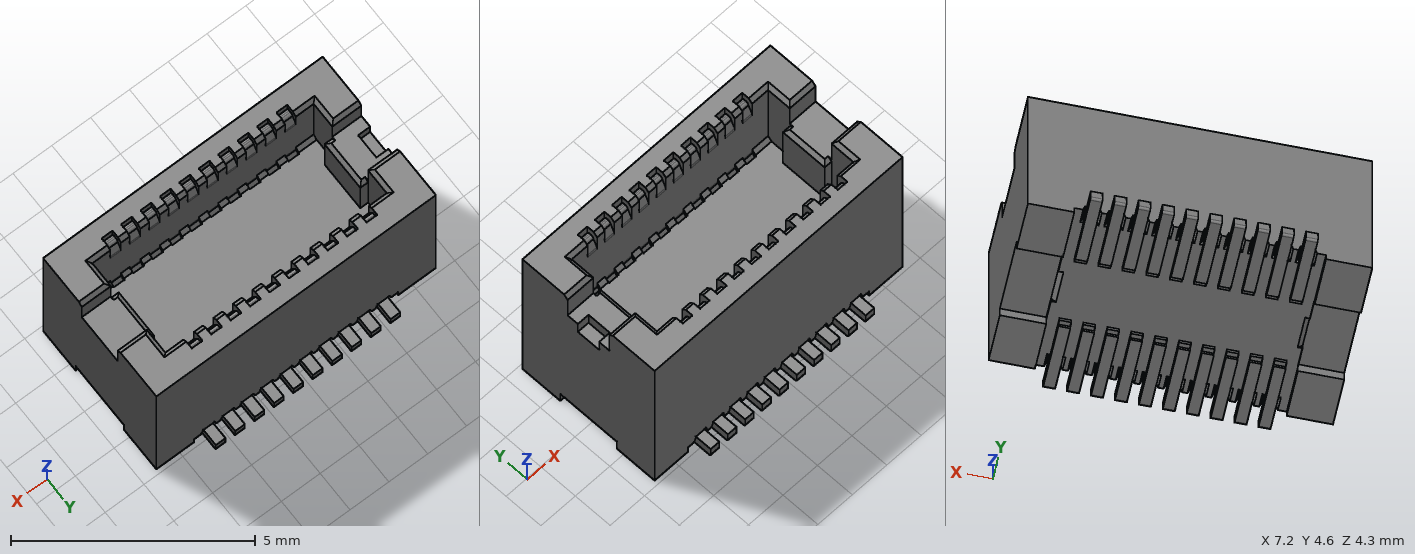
import cadquery as cq

length = 7.2
width = 3.8
height = 4.3
overall_width = 4.6

cavity_length = 5.7
cavity_width = 2.45
cavity_floor = 2.3
rim_chamfer = 0.1
floor_strip_size = 0.1

notch_width = 1.2
notch_depth = 0.7
ledge_reach = 0.95
ledge_chamfer = 0.1
pocket_width = 0.61
pocket_size = 0.31

foot_length = 0.97
standoff = 0.165
channel_width = 1.62
channel_depth = 0.27
ramp_width = 0.72

contacts_per_row = 10
pitch = 0.5
lead_width = 0.25
lead_height = 0.27
lead_inner_y = 0.71
lead_step_height = 0.075
lead_edge_radius = 0.05
lead_notch_top_width = 0.30
lead_notch_bottom_width = 0.39
lead_notch_top = 0.325
lead_notch_reach = 0.3

slot_width = 0.275
contact_back_y = 1.51
contact_front_y = 1.33
contact_top = 4.1
tip_front_radius = 0.08
tip_back_radius = 0.06
lip_depth = 0.01
lip_height = 0.06
wall_slot_bottom = 3.76
floor_slot_top = 2.34
floor_slot_y = 1.10
floor_slot_bottom = 2.11

half_length = length / 2
half_width = width / 2
wall_y = cavity_width / 2
notch_floor = height - notch_depth
foot_inner_x = half_length - foot_length
contact_xs = [(i - (contacts_per_row - 1) / 2) * pitch for i in range(contacts_per_row)]


def box(x_size, y_size, z_min, z_max, x_center=0):
    """Box centred on Y = 0 between two heights."""
    plane = cq.Workplane("XY", origin=(x_center, 0, z_min))
    return plane.rect(x_size, y_size).extrude(z_max - z_min)


def yz_prism(points, x_size, x_center=0):
    """Closed YZ outline extruded symmetrically along X."""
    plane = cq.Workplane("YZ", origin=(x_center, 0, 0))
    return plane.polyline(points).close().extrude(x_size / 2, both=True)


def both_rows(solid):
    """The +Y solid joined to its mirror image on the -Y side."""
    return solid.union(solid.mirror("XZ"))


def at_contacts(solid):
    """Copies of a solid made at X = 0, one at every contact of both rows."""
    pair = both_rows(solid)
    copies = [pair.translate((x, 0, 0)).val() for x in contact_xs]
    return cq.Workplane(cq.Compound.makeCompound(copies))


def rim_flare(x_size, y_size):
    """Tapered cut that chamfers the upper rim of a rectangular opening."""
    plane = cq.Workplane("XY", origin=(0, 0, height))
    outer = plane.rect(x_size + 2 * rim_chamfer, y_size + 2 * rim_chamfer)
    return outer.workplane(offset=-rim_chamfer).rect(x_size, y_size).loft(ruled=True)


def cut_cavity(body):
    """Mating cavity with a chamfered rim and sloped strips along its floor."""
    body = body.cut(box(cavity_length, cavity_width, cavity_floor, height))
    body = body.cut(rim_flare(cavity_length, cavity_width))
    strip = yz_prism(
        [
            (wall_y, cavity_floor),
            (wall_y, cavity_floor + floor_strip_size),
            (wall_y - floor_strip_size, cavity_floor),
        ],
        cavity_length,
    )
    return body.union(both_rows(strip))


def add_end_ledges(body):
    """Blocks standing in both ends of the cavity, chamfered on their free upper edges."""
    for side, inner_face in ((-1, ">X"), (1, "<X")):
        center = side * (half_length - ledge_reach / 2)
        block = box(ledge_reach, notch_width, cavity_floor, notch_floor, center)
        free_edges = block.edges(f"(>Z and {inner_face}) or (>Z and >Y) or (>Z and <Y)")
        body = body.union(free_edges.chamfer(ledge_chamfer))
    return body


def cut_end_notches(body):
    """Notches through both end walls, with chamfered upper edges."""
    body = body.cut(box(2 * length, notch_width, notch_floor, height))
    return body.cut(rim_flare(2 * length, notch_width))


def cut_marker_pocket(body):
    """Small open pocket in the -X notch floor."""
    center = -half_length + pocket_size / 2
    return body.cut(box(pocket_size, pocket_width, notch_floor - pocket_size, notch_floor, center))


def cut_underside(body):
    """Raised underside between four corner feet, with a ramp at each end of its middle."""
    body = body.cut(box(2 * foot_inner_x, width, 0, standoff))
    ramp_size = channel_depth - standoff
    ramp = (
        cq.Workplane("XZ")
        .moveTo(foot_inner_x, standoff)
        .lineTo(foot_inner_x, channel_depth)
        .lineTo(foot_inner_x - ramp_size, standoff)
        .close()
        .extrude(ramp_width / 2, both=True)
    )
    body = body.cut(ramp).cut(ramp.mirror("YZ"))
    for side in (-1, 1):
        center = side * (half_length - foot_length / 2)
        body = body.cut(box(foot_length, channel_width, 0, channel_depth, center))
    return body


def lead_notch():
    """Trapezoidal clearance around a lead in the lower edge of the side wall."""
    return (
        cq.Workplane("XZ", origin=(0, half_width, 0))
        .moveTo(-lead_notch_bottom_width / 2, standoff)
        .lineTo(-lead_notch_top_width / 2, lead_notch_top)
        .lineTo(lead_notch_top_width / 2, lead_notch_top)
        .lineTo(lead_notch_bottom_width / 2, standoff)
        .close()
        .extrude(lead_notch_reach)
    )


def lead():
    """Solder lead with a raised inner end and a rounded lower outer edge."""
    step_y = channel_width / 2
    outer_y = overall_width / 2
    bar = yz_prism(
        [
            (lead_inner_y, lead_height),
            (lead_inner_y, lead_step_height),
            (step_y, lead_step_height),
            (step_y, 0),
            (outer_y, 0),
            (outer_y, lead_height),
        ],
        lead_width,
    )
    return bar.edges(">Y and <Z").fillet(lead_edge_radius)


def wall_slot():
    """Slot in the cavity wall, cut down to the rounded tip and sloping face of its contact."""
    profile = (
        cq.Workplane("YZ")
        .moveTo(wall_y, height)
        .lineTo(contact_back_y, height)
        .lineTo(contact_back_y, contact_top - tip_back_radius)
        .radiusArc((contact_back_y - tip_back_radius, contact_top), -tip_back_radius)
        .lineTo(contact_front_y + tip_front_radius, contact_top)
        .radiusArc((contact_front_y, contact_top - tip_front_radius), -tip_front_radius)
        .lineTo(wall_y + lip_depth, wall_slot_bottom + lip_height)
        .lineTo(wall_y, wall_slot_bottom)
        .close()
    )
    return profile.extrude(slot_width / 2, both=True)


def floor_slot():
    """Slot at the foot of the cavity wall, exposing the steep lower face of a contact."""
    strip_top = cavity_floor + floor_strip_size
    return yz_prism(
        [
            (wall_y, strip_top),
            (floor_slot_y, strip_top),
            (floor_slot_y, floor_slot_bottom),
            (wall_y - lip_depth, floor_slot_top - lip_height),
            (wall_y, floor_slot_top),
        ],
        slot_width,
    )


housing = box(length, width, 0, height)
housing = cut_cavity(housing)
housing = add_end_ledges(housing)
housing = cut_end_notches(housing)
housing = cut_marker_pocket(housing)
housing = cut_underside(housing)
housing = housing.cut(at_contacts(lead_notch()))
housing = housing.cut(at_contacts(wall_slot()))
housing = housing.cut(at_contacts(floor_slot()))
result = housing.union(at_contacts(lead()))